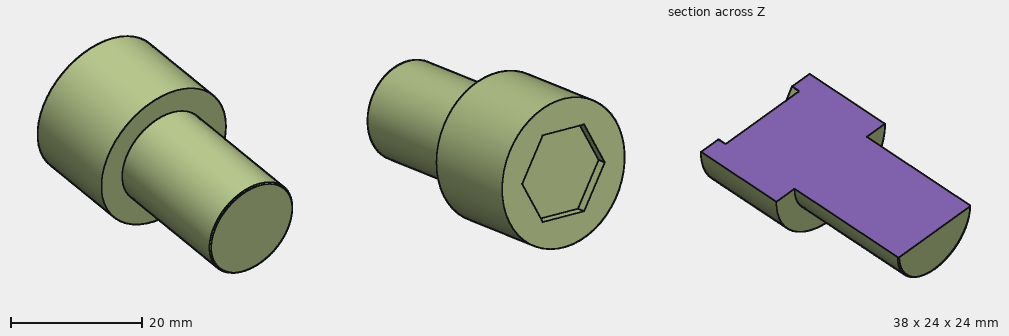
import cadquery as cq
import math

shank_diameter = 16.0
head_diameter = 24.0
head_height = 16.0
total_length = 38.0
tip_chamfer = 0.2
socket_across_flats = 14.0
socket_depth = 1.5
socket_sides = 6

shank_length = total_length - head_height
socket_across_corners = socket_across_flats / math.cos(math.pi / socket_sides)


def make_head():
    """Cylindrical head along X, with its outer face at X = 0."""
    return cq.Workplane("YZ").circle(head_diameter / 2).extrude(head_height)


def make_shank():
    """Plain shank running from the head in +X, chamfered at its tip."""
    return (
        cq.Workplane("YZ", origin=(head_height, 0, 0))
        .circle(shank_diameter / 2)
        .extrude(shank_length)
        .faces(">X")
        .edges()
        .chamfer(tip_chamfer)
    )


def make_socket():
    """Hexagonal drive socket, with two corners on the Y axis."""
    return cq.Workplane("YZ").polygon(socket_sides, socket_across_corners).extrude(socket_depth)


result = make_head().union(make_shank()).cut(make_socket())